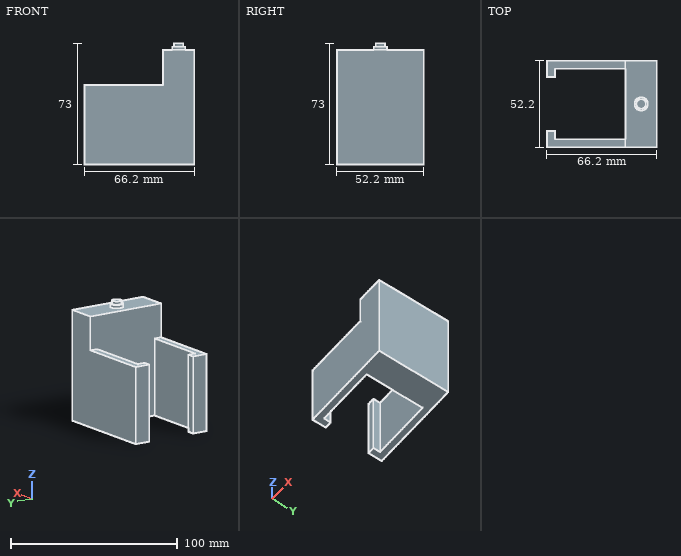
import cadquery as cq

length = 66.2
width = 52.2
total_height = 73.0

block_depth = 19.0
arm_height = 48.0
wall = 5.0
lip_reach = 10.0

collar_diameter = 8.0
pin_diameter = 5.8
collar_height = 2.0
pin_height = 2.0

block_height = total_height - collar_height - pin_height
arm_length = length - block_depth


def make_block():
    return cq.Workplane("XY").box(
        block_depth, width, block_height, centered=(False, True, False)
    ).translate((arm_length, 0, 0))


def make_arms():
    """Two walls running forward from the block, each ending in an inward lip."""
    outline = cq.Workplane("XY").rect(length, width).extrude(arm_height)
    outline = outline.translate((length / 2, 0, 0))
    channel = cq.Workplane("XY").box(
        arm_length - wall, width - 2 * wall, arm_height, centered=(False, True, False)
    ).translate((wall, 0, 0))
    mouth = cq.Workplane("XY").box(
        wall, width - 2 * lip_reach, arm_height, centered=(False, True, False)
    )
    return outline.cut(channel).cut(mouth)


def make_stud():
    return (
        cq.Workplane("XY", origin=(length - block_depth / 2, 0, block_height))
        .circle(collar_diameter / 2)
        .extrude(collar_height)
        .faces(">Z")
        .workplane()
        .circle(pin_diameter / 2)
        .extrude(pin_height)
    )


result = make_block().union(make_arms()).union(make_stud())